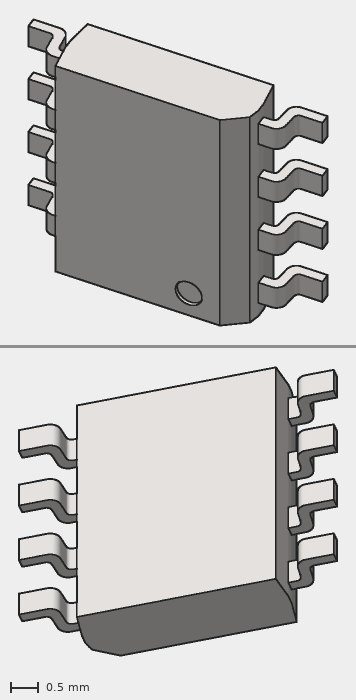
import cadquery as cq


body_length = 4.92
body_thickness = 1.3
belt_half_width = 1.95
belt_setback = 0.54
face_half_width = 1.88

bevel_start_x = 1.445
bevel_end_x = 1.89
bevel_depth = 0.315

leads_per_side = 4
lead_pitch = 1.27
lead_width = 0.49
lead_thickness = 0.21
lead_wall_width = 0.19
lead_tip_x = 2.975
lead_foot_length = 0.525
lead_wall_lean = 0.055
lead_outer_radius = 0.2
lead_inner_radius = 0.1
lead_embed = 0.3

marker_diameter = 0.535
marker_depth = 0.08
marker_x = 0.815
marker_z = -1.935

back_y = body_thickness / 2
front_y = -back_y
belt_back_y = back_y - belt_setback
belt_front_y = belt_back_y - lead_thickness


def make_body():
    """Tapered body with a flat belt and one bevelled long edge."""
    outline = [
        (-face_half_width, back_y),
        (face_half_width, back_y),
        (belt_half_width, belt_back_y),
        (belt_half_width, belt_front_y),
        (bevel_end_x, front_y + bevel_depth),
        (bevel_start_x, front_y),
        (-face_half_width, front_y),
        (-belt_half_width, belt_front_y),
        (-belt_half_width, belt_back_y),
    ]
    return cq.Workplane("XY").polyline(outline).close().extrude(body_length / 2, both=True)


def make_lead():
    """One lead on the +X side, centred on Z = 0, with its root inside the body."""
    root_x = belt_half_width - lead_embed
    foot_front_y = back_y - lead_thickness
    wall_outer_x = lead_tip_x - lead_foot_length
    wall_inner_x = wall_outer_x - lead_wall_width

    foot_inside = (wall_outer_x, foot_front_y)
    shoulder_outside = (wall_outer_x - lead_wall_lean, belt_front_y)
    shoulder_inside = (wall_inner_x - lead_wall_lean, belt_back_y)
    foot_outside = (wall_inner_x, back_y)
    outline = [
        (lead_tip_x, back_y),
        (lead_tip_x, foot_front_y),
        foot_inside,
        shoulder_outside,
        (root_x, belt_front_y),
        (root_x, belt_back_y),
        shoulder_inside,
        foot_outside,
    ]
    lead = cq.Workplane("XY").polyline(outline).close().extrude(lead_width / 2, both=True)

    bends = [
        (foot_inside, lead_inner_radius),
        (shoulder_inside, lead_inner_radius),
        (shoulder_outside, lead_outer_radius),
        (foot_outside, lead_outer_radius),
    ]
    for (x, y), radius in bends:
        corner_edge = cq.selectors.NearestToPointSelector((x, y, 0))
        lead = lead.edges("|Z").edges(corner_edge).fillet(radius)
    return lead


def make_marker():
    """Shallow round pocket cutter in the front face beside pin 1."""
    return (
        cq.Workplane("XZ", origin=(marker_x, front_y, marker_z))
        .circle(marker_diameter / 2)
        .extrude(-marker_depth)
    )


result = make_body()
right_lead = make_lead()
left_lead = right_lead.mirror("YZ")
for row in range(leads_per_side):
    lead_z = (row - (leads_per_side - 1) / 2) * lead_pitch
    for lead in (right_lead, left_lead):
        result = result.union(lead.translate((0, 0, lead_z)))
result = result.cut(make_marker())